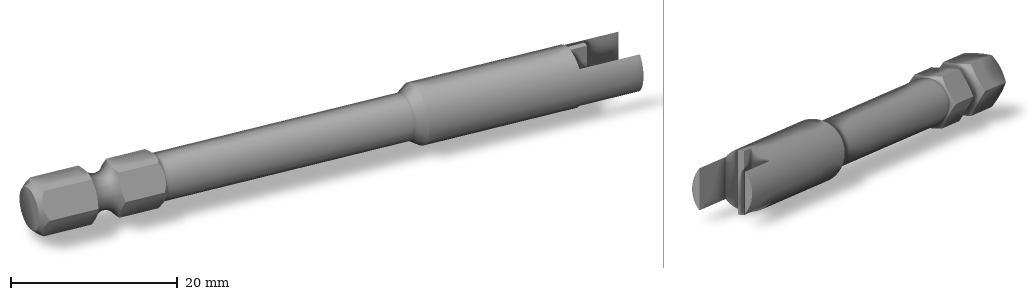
import cadquery as cq
import math

length = 80.0

sleeve_radius = 3.9
sleeve_length = 28.6
taper_length = 1.4
shank_radius = 3.0

hex_length = 17.0
hex_across_flats = 6.3
hex_corner_radius = hex_across_flats / 2 / math.cos(math.pi / 6)
end_face_radius = 2.7
end_chamfer_length = 1.0

groove_position = 9.3
groove_bottom_radius = 2.3
groove_arc_radius = 1.9

slot_width = 5.9
slot_depth = 8.1
blade_thickness = 0.8
blade_height = 2.2

sleeve_start = length - sleeve_length
taper_start = sleeve_start - taper_length
slot_floor = length - slot_depth


def revolve_about_y(profile):
    return profile.close().revolve(360, (0, 0, 0), (0, 1, 0))


def make_round_body():
    """Shank, taper and sleeve, standing on the inner end of the hexagonal drive."""
    return revolve_about_y(
        cq.Workplane("XY")
        .moveTo(0, hex_length)
        .lineTo(shank_radius, hex_length)
        .lineTo(shank_radius, taper_start)
        .lineTo(sleeve_radius, sleeve_start)
        .lineTo(sleeve_radius, length)
        .lineTo(0, length)
    )


def make_hex_drive():
    """Hexagonal bar with conical ends and a snap groove."""
    bar = (
        cq.Workplane("XZ")
        .polygon(6, 2 * hex_corner_radius)
        .extrude(-hex_length)
    )
    neck_chamfer = hex_corner_radius - shank_radius
    envelope = revolve_about_y(
        cq.Workplane("XY")
        .lineTo(end_face_radius, 0)
        .lineTo(hex_corner_radius, end_chamfer_length)
        .lineTo(hex_corner_radius, hex_length - neck_chamfer)
        .lineTo(shank_radius, hex_length)
        .lineTo(0, hex_length)
    )
    groove = revolve_about_y(
        cq.Workplane("XY")
        .moveTo(groove_bottom_radius + groove_arc_radius, groove_position - groove_arc_radius)
        .threePointArc(
            (groove_bottom_radius, groove_position),
            (groove_bottom_radius + groove_arc_radius, groove_position + groove_arc_radius),
        )
    )
    return bar.intersect(envelope).cut(groove)


def make_tip_cut():
    """Material removed from the sleeve to leave the two tines and the blade."""
    sleeve_diameter = 2 * sleeve_radius
    slot = (
        cq.Workplane("XY")
        .box(slot_width, slot_depth, sleeve_diameter, centered=(True, False, True))
        .translate((0, slot_floor, 0))
    )
    blade = (
        cq.Workplane("XY")
        .box(blade_thickness, blade_height, sleeve_diameter, centered=(True, False, True))
        .translate((0, slot_floor, 0))
    )
    return slot.cut(blade)


result = make_round_body().union(make_hex_drive()).cut(make_tip_cut())